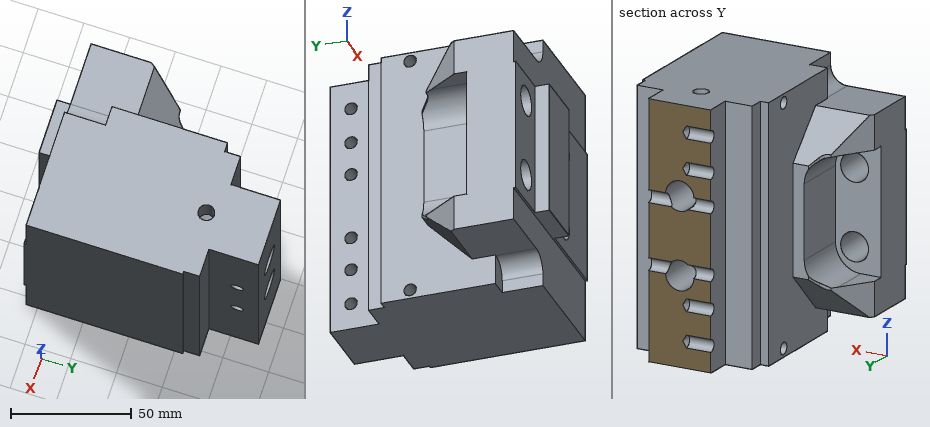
import cadquery as cq
import math


HEIGHT = 116.0
BODY_LEFT = 27.0
BODY_RIGHT = 87.0
BODY_BACK = 68.5
SHOULDER_LEFT = 31.0
SHOULDER_RIGHT = 85.7
SHOULDER_BACK = 75.5
NECK_CENTER = 58.6
NECK_WIDTH = 29.6
NECK_LEFT = NECK_CENTER - NECK_WIDTH / 2
NECK_RIGHT = NECK_CENTER + NECK_WIDTH / 2
NECK_BACK = 97.2

JAW_HALF_HEIGHT = 44.5
JAW_BACK = 47.7
JAW_CORNER_START = 28.2
BEVEL_START = 26.3
BEVEL_END = (11.6, 42.9)
HOLLOW_MIDDLE = (14.2, 43.2)
HOLLOW_END = (16.2, 44.3)

POCKET_FRONT = 20.8
POCKET_HALF_HEIGHT = 28.9
POCKET_RADIUS = 12.1
POCKET_DEPTH = 21.7

NOTCH_RIGHT = 35.5
NOTCH_RADIUS = 7.9
NOTCH_LENGTH = 18.0

PLATE_THICKNESS = 0.9
PLATE_HEIGHT = 59.6
PAD_FRONT = 7.3
PAD_LEFT = 23.4
PAD_WIDTH = 24.0
PAD_CHAMFER = 0.17

BOLT_DIAMETER = 13.2
BOLT_X = (12.6, NECK_CENTER)
BOLT_Z = 17.5
SMALL_DIAMETER = 5.5
SMALL_DEPTH = 11.6
NECK_HOLE_Y = 87.9
NECK_THROUGH_Z = 15.0
NECK_BLIND_Z = (30.0, 46.0)
BODY_HOLE_Y = 55.7
BODY_HOLE_Z = 54.0
TOP_HOLE_DIAMETER = 6.8
TOP_HOLE_Y = 69.6
TOP_HOLE_DEPTH = 13.9
DRILL_POINT_ANGLE = 118.0


def box(x_range, y_range, z_range):
    """Box spanning the three given (low, high) ranges."""
    size = [high - low for low, high in (x_range, y_range, z_range)]
    corner = (x_range[0], y_range[0], z_range[0])
    return cq.Workplane("XY").box(*size, centered=False).translate(corner)


def upright(half_height, x_range, y_range):
    """Box centered on Z = 0."""
    return box(x_range, y_range, (-half_height, half_height))


def drill(diameter, depth, entry, direction):
    """Blind drilled hole with a conical end."""
    radius = diameter / 2
    point_length = radius / math.tan(math.radians(DRILL_POINT_ANGLE / 2))
    start = cq.Vector(*entry)
    axis = cq.Vector(*direction)
    straight = cq.Solid.makeCylinder(radius, depth, start, axis)
    point = cq.Solid.makeCone(radius, 0, point_length, start + axis * depth, axis)
    return cq.Workplane(straight).union(cq.Workplane(point))


def make_body():
    half = HEIGHT / 2
    body = upright(half, (BODY_LEFT, BODY_RIGHT), (0, BODY_BACK))
    body = body.union(upright(half, (SHOULDER_LEFT, SHOULDER_RIGHT), (0, SHOULDER_BACK)))
    body = body.union(upright(half, (NECK_LEFT, NECK_RIGHT), (0, NECK_BACK)))
    for side in (1, -1):
        z_range = sorted((side * JAW_HALF_HEIGHT, side * half))
        notch = box((0, NOTCH_RIGHT), (0, NOTCH_LENGTH), z_range)
        inner_edge = ">X and <Z" if side > 0 else ">X and >Z"
        body = body.cut(notch.edges(inner_edge).fillet(NOTCH_RADIUS))
    return body


def make_jaw():
    corner_cut = JAW_BACK - JAW_CORNER_START
    side_profile = [
        (0, -JAW_HALF_HEIGHT),
        (JAW_CORNER_START, -JAW_HALF_HEIGHT),
        (JAW_BACK, -JAW_HALF_HEIGHT + corner_cut),
        (JAW_BACK, JAW_HALF_HEIGHT - corner_cut),
        (JAW_CORNER_START, JAW_HALF_HEIGHT),
        (0, JAW_HALF_HEIGHT),
    ]
    jaw = cq.Workplane("YZ").polyline(side_profile).close().extrude(BODY_LEFT)
    slope_end_x = HOLLOW_END[0] + JAW_BACK - HOLLOW_END[1]
    bevel_cut = (
        cq.Workplane("XY", origin=(0, 0, -JAW_HALF_HEIGHT))
        .moveTo(0, BEVEL_START)
        .lineTo(*BEVEL_END)
        .threePointArc(HOLLOW_MIDDLE, HOLLOW_END)
        .lineTo(slope_end_x, JAW_BACK)
        .lineTo(0, JAW_BACK)
        .close()
        .extrude(2 * JAW_HALF_HEIGHT)
    )
    pocket = upright(POCKET_HALF_HEIGHT, (0, POCKET_DEPTH), (POCKET_FRONT, JAW_BACK))
    pocket = pocket.edges(">X and |Y").fillet(POCKET_RADIUS)
    return jaw.cut(bevel_cut).cut(pocket)


def make_plate_and_pad():
    plate = upright(PLATE_HEIGHT / 2, (0, BODY_RIGHT), (-PLATE_THICKNESS, 0))
    pad = upright(PLATE_HEIGHT / 2, (PAD_LEFT, PAD_LEFT + PAD_WIDTH), (-PAD_FRONT, 0))
    return plate.union(pad.faces("<Y").chamfer(PAD_CHAMFER))


def bolt_holes():
    points = [(x, z) for x in BOLT_X for z in (-BOLT_Z, BOLT_Z)]
    plane = cq.Workplane("XZ", origin=(0, -PAD_FRONT, 0))
    return plane.pushPoints(points).circle(BOLT_DIAMETER / 2).extrude(-(PAD_FRONT + NECK_BACK))


def neck_through_holes():
    points = [(NECK_HOLE_Y, z) for z in (-NECK_THROUGH_Z, NECK_THROUGH_Z)]
    return cq.Workplane("YZ").pushPoints(points).circle(SMALL_DIAMETER / 2).extrude(BODY_RIGHT)


def blind_holes():
    """Drilled holes in the left side of the neck and body, and one in the top."""
    inward = (1, 0, 0)
    top_entry = (NECK_CENTER, TOP_HOLE_Y, HEIGHT / 2)
    holes = [drill(TOP_HOLE_DIAMETER, TOP_HOLE_DEPTH, top_entry, (0, 0, -1))]
    for side in (1, -1):
        entries = [(NECK_LEFT, NECK_HOLE_Y, side * z) for z in NECK_BLIND_Z]
        entries.append((BODY_LEFT, BODY_HOLE_Y, side * BODY_HOLE_Z))
        holes += [drill(SMALL_DIAMETER, SMALL_DEPTH, entry, inward) for entry in entries]
    return holes


result = make_body().union(make_jaw()).union(make_plate_and_pad())
for hole in [bolt_holes(), neck_through_holes(), *blind_holes()]:
    result = result.cut(hole)